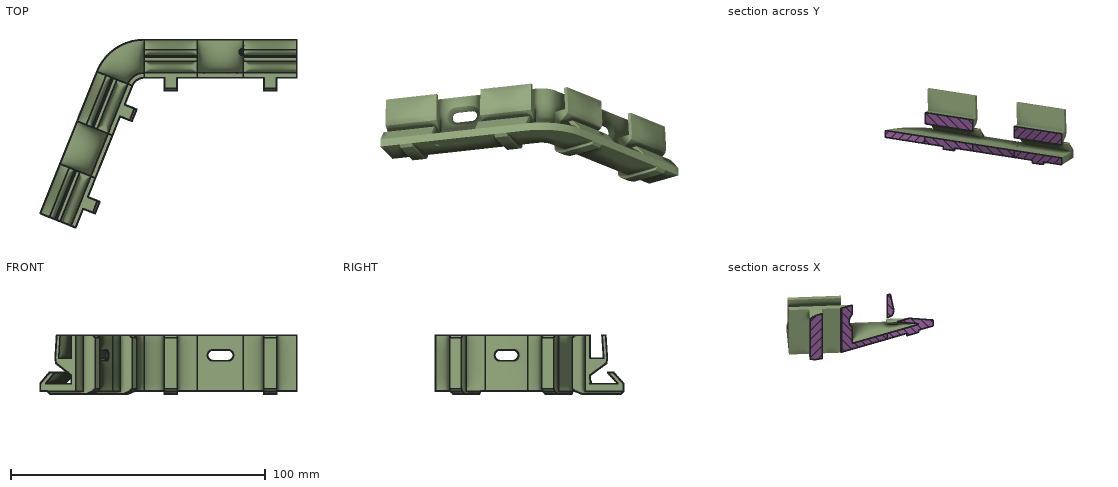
import cadquery as cq
import math


total_length = 100.9
turn_angle = 68.2
outer_radius = 20.0
arm_width = 15.0
height = 22.0
base_thickness = 3.0
wall_thickness = 1.9
clip_length = 21.0

turn = math.radians(turn_angle)
arm_length = (total_length - outer_radius * math.sin(turn)) / (1 + math.cos(turn))
middle_length = arm_length - 2 * clip_length
wall_outer_y = outer_radius - arm_width
wall_inner_y = wall_outer_y + wall_thickness

lip_height = 4.3
lip_run = 3.9
lip_width = 2.3

shelf_z = 13.0
tab_thickness = 1.5
tab_top_inset = 7.0
tab_bottom_inset = 6.4
nose_inset = 6.7
nose_z = 11.0
shelf_root_z = 6.3

foot_width = 5.0
foot_reach = 5.0
foot_drop = 1.1
foot_chamfer = 1.0
foot_ramp_length = 2.8

slot_length = 10.1
slot_height = 4.1
slot_z = 14.1
countersink = 1.6
countersink_angle = 45

ring_outer_radius = 1.2
ring_inner_radius = 0.7
ring_inset = 4.8
ring_end_gap = 0.4

ring_x = middle_length / 2 - ring_end_gap
ring_y = outer_radius - ring_inset

inner_clip_centre = clip_length / 2
middle_centre = arm_length / 2
outer_clip_centre = arm_length - clip_length / 2


def angle_profile():
    """The L-shaped section of the base and the wall."""
    return cq.Workplane("YZ").polyline([
        (outer_radius, 0),
        (wall_outer_y, 0),
        (wall_outer_y, height),
        (wall_inner_y, height),
        (wall_inner_y, base_thickness),
        (outer_radius, base_thickness),
    ]).close()


def bar(points, length):
    """A straight bar with the given YZ section, centred on X = 0."""
    return cq.Workplane("YZ").polyline(points).close().extrude(length / 2, both=True)


def lip():
    tip_z = base_thickness + lip_height
    tip_y = outer_radius - lip_run
    return bar([
        (outer_radius, base_thickness),
        (tip_y, tip_z),
        (tip_y - lip_width, tip_z),
        (outer_radius - lip_width, base_thickness),
    ], clip_length)


def shelf_and_tab():
    tab_top_y = outer_radius - tab_top_inset
    tab_bottom_y = outer_radius - tab_bottom_inset
    return bar([
        (wall_inner_y, shelf_root_z),
        (outer_radius - nose_inset, nose_z),
        (tab_bottom_y, shelf_z),
        (tab_top_y, height),
        (tab_top_y - tab_thickness, height),
        (tab_bottom_y - tab_thickness, shelf_z),
        (wall_inner_y, shelf_z),
    ], clip_length)


def foot():
    """A rib around the underside of the base and the back of the wall."""
    end_y = wall_outer_y - foot_reach
    chamfer_y = end_y + foot_chamfer
    below_base = [
        (outer_radius, 0),
        (outer_radius - foot_chamfer, -foot_drop),
        (chamfer_y + foot_ramp_length, -foot_drop),
        (chamfer_y, 0),
    ]
    behind_wall = [
        (end_y, foot_chamfer),
        (end_y, height - foot_chamfer),
        (chamfer_y, height),
        (wall_outer_y, height),
        (wall_outer_y, 0),
    ]
    return bar(below_base + behind_wall, foot_width)


def clip_segment():
    section = angle_profile().extrude(clip_length / 2, both=True)
    return section.union(lip()).union(shelf_and_tab()).union(foot())


def wall_slot():
    """A slot that widens towards the base side of the wall."""
    face = cq.Workplane("XZ", origin=(0, wall_inner_y, slot_z))
    straight = face.slot2D(slot_length, slot_height).extrude(wall_thickness)
    bevel = face.slot2D(
        slot_length + 2 * countersink, slot_height + 2 * countersink
    ).extrude(countersink, taper=countersink_angle)
    return straight.union(bevel)


def middle_segment():
    section = angle_profile().extrude(middle_length / 2, both=True)
    return section.cut(wall_slot())


def ring_disc(radius):
    return cq.Workplane("XY").center(ring_x, ring_y).circle(radius).extrude(base_thickness)


def ringed_middle_segment():
    groove = ring_disc(ring_outer_radius)
    return middle_segment().cut(groove)


def ring_core():
    """The core inside the ring groove, cut flat where the segment ends."""
    segment = angle_profile().extrude(middle_length / 2, both=True)
    return ring_disc(ring_inner_radius).intersect(segment)


def on_first_arm(body, distance):
    return body.translate((distance, 0, 0))


def on_second_arm(body, distance):
    return body.translate((-distance, 0, 0)).rotate((0, 0, 0), (0, 0, 1), turn_angle)


bend = angle_profile().revolve(turn_angle, (0, 0), (0, 1))

clips = []
for place in (on_first_arm, on_second_arm):
    for centre in (inner_clip_centre, outer_clip_centre):
        clips.append(place(clip_segment(), centre).val())

first_middle = on_first_arm(ringed_middle_segment(), middle_centre)
first_core = on_first_arm(ring_core(), middle_centre)
second_middle = on_second_arm(middle_segment(), middle_centre)

result = cq.Compound.makeCompound([
    bend.val(),
    *clips,
    first_middle.val(),
    first_core.val(),
    second_middle.val(),
])